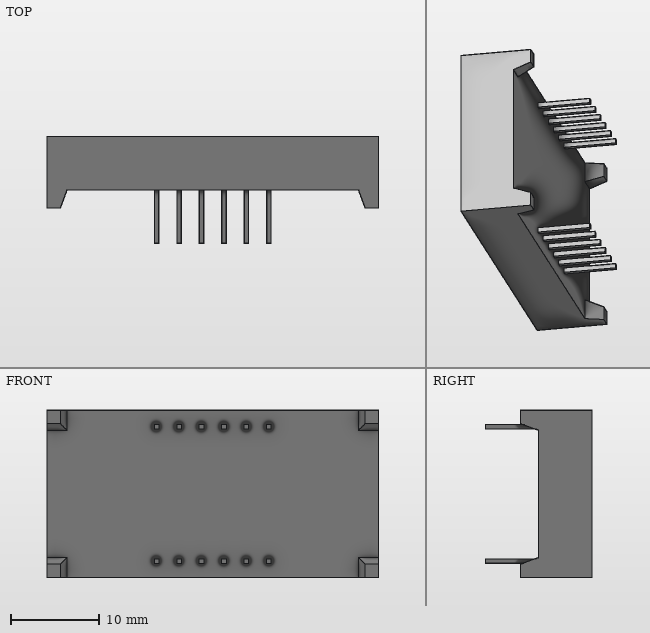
import cadquery as cq

length = 37.6
height = 19.0
total_depth = 12.1

body_depth = 6.1
front_face_y = -body_depth

foot_height = 2.03
foot_base = 2.3
foot_tip = 1.55

pins_per_row = 6
pin_span = 12.7
pin_pitch = pin_span / (pins_per_row - 1)
row_spacing = 15.23
pin_width = 0.53
pin_length = total_depth - body_depth


def make_body():
    """Plain block, centred on X and Z, running from Y = 0 toward -Y."""
    return cq.Workplane("XY").box(length, body_depth, height).translate((0, -body_depth / 2, 0))


def make_foot(side_x, side_z):
    """Corner foot: two outer sides flush with the body, two inner sides sloping."""
    corner_x = side_x * length / 2
    corner_z = side_z * height / 2

    def section_center(size):
        return corner_x - side_x * size / 2, corner_z - side_z * size / 2

    base_x, base_z = section_center(foot_base)
    tip_x, tip_z = section_center(foot_tip)
    return (
        cq.Workplane("XZ", origin=(0, front_face_y, 0))
        .center(base_x, base_z)
        .rect(foot_base, foot_base)
        .workplane(offset=foot_height)
        .center(tip_x - base_x, tip_z - base_z)
        .rect(foot_tip, foot_tip)
        .loft(ruled=True)
    )


def make_pins():
    """Both rows of pins, projecting from the front face toward -Y."""
    return (
        cq.Workplane("XZ", origin=(0, front_face_y, 0))
        .rarray(pin_pitch, row_spacing, pins_per_row, 2)
        .rect(pin_width, pin_width)
        .extrude(pin_length)
    )


result = make_body()
for side_x in (-1, 1):
    for side_z in (-1, 1):
        result = result.union(make_foot(side_x, side_z))
result = result.union(make_pins())